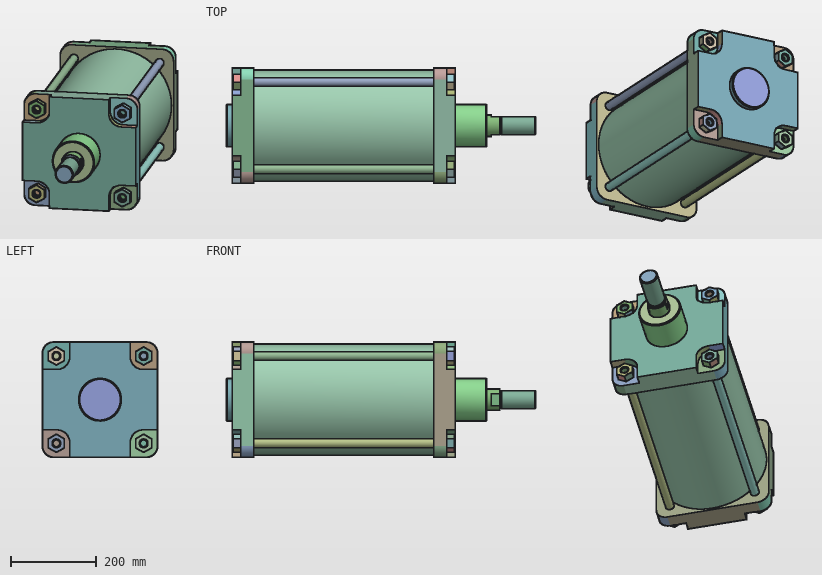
import cadquery as cq
import math

total_length = 723.0

head_side = 270.0
head_thickness = 50.5
head_corner_radius = 27.0
pocket_side = 64.0
pocket_depth = 20.0
pocket_radius = 30.5
boss_diameter = 100.0
boss_length = 14.0
sleeve_length = 74.0
boss_chamfer = 2.0

barrel_diameter = 260.0
barrel_length = 420.0

rod_diameter = 50.5
collar_length = 11.0
flats_length = 19.5
flats_width = 43.0
thread_diameter = 43.0
thread_chamfer = 2.0
neck_diameter = 40.5
neck_length = 2.0

tie_rod_offset = 102.0
tie_rod_diameter = 20.0
nut_flats = 37.0
nut_sides = 6
nut_across_corners = nut_flats / math.cos(math.pi / nut_sides)
nut_length = 18.0
socket_diameter = 16.0
socket_depth = 18.0
socket_chamfer = 2.0

rear_outer = boss_length
rear_inner = rear_outer + head_thickness
front_inner = rear_inner + barrel_length
front_outer = front_inner + head_thickness
sleeve_end = front_outer + sleeve_length
flats_start = sleeve_end + collar_length
flats_end = flats_start + flats_length
thread_start = flats_end + neck_length

corners = [(y, z) for y in (-1, 1) for z in (-1, 1)]


def cylinder_x(diameter, x_start, x_end, y=0.0, z=0.0):
    """Round bar along X between two stations."""
    return cq.Workplane("YZ", origin=(x_start, y, z)).circle(diameter / 2).extrude(x_end - x_start)


def make_head(x_start, pocket_start):
    """Square head plate with four nut pockets and tie-rod holes."""
    plate = (
        cq.Workplane("YZ", origin=(x_start, 0, 0))
        .rect(head_side, head_side)
        .extrude(head_thickness)
        .edges("|X")
        .fillet(head_corner_radius)
    )
    pocket_centers = [(y * head_side / 2, z * head_side / 2) for y, z in corners]
    pockets = (
        cq.Workplane("YZ", origin=(pocket_start, 0, 0))
        .pushPoints(pocket_centers)
        .rect(2 * pocket_side, 2 * pocket_side)
        .extrude(pocket_depth)
        .edges("|X")
        .fillet(pocket_radius)
    )
    plate = plate.cut(pockets)
    for y, z in corners:
        hole = cylinder_x(
            tie_rod_diameter, x_start, x_start + head_thickness, y * tie_rod_offset, z * tie_rod_offset
        )
        plate = plate.cut(hole)
    return plate


def make_rear_head():
    """Rear head with its short centring boss."""
    boss = cylinder_x(boss_diameter, 0, rear_outer).faces("<X").chamfer(boss_chamfer)
    return make_head(rear_outer, rear_outer).union(boss)


def make_front_head():
    """Front head with its rod sleeve, bored through for the piston rod."""
    sleeve = cylinder_x(boss_diameter, front_outer, sleeve_end).faces(">X").chamfer(boss_chamfer)
    head = make_head(front_inner, front_outer - pocket_depth).union(sleeve)
    return head.cut(cylinder_x(rod_diameter, front_inner, sleeve_end))


def make_piston_rod():
    """Piston rod with two wrench flats and a threaded end."""
    shank = cylinder_x(rod_diameter, front_inner, flats_start)
    flats = cylinder_x(rod_diameter, flats_start, flats_end).intersect(
        cq.Workplane("YZ", origin=(flats_start, 0, 0)).rect(flats_width, rod_diameter).extrude(flats_length)
    )
    neck = cylinder_x(neck_diameter, flats_end, thread_start)
    thread = cylinder_x(thread_diameter, thread_start, total_length).faces("<X or >X").chamfer(thread_chamfer)
    return shank.union(flats).union(neck).union(thread)


def make_tie_rod(y, z):
    """Tie rod with a hexagonal nut and a chamfered socket at each end."""
    rear_seat = rear_outer + pocket_depth
    front_seat = front_outer - pocket_depth
    rear_end = rear_seat - nut_length
    front_end = front_seat + nut_length
    tie_rod = cylinder_x(tie_rod_diameter, rear_end, front_end, y, z)
    for x_start in (rear_end, front_seat):
        nut = (
            cq.Workplane("YZ", origin=(x_start, y, z))
            .transformed(rotate=(0, 0, 90))
            .polygon(nut_sides, nut_across_corners)
            .extrude(nut_length)
        )
        tie_rod = tie_rod.union(nut)
    sockets = cylinder_x(socket_diameter, rear_end, rear_end + socket_depth, y, z).union(
        cylinder_x(socket_diameter, front_end - socket_depth, front_end, y, z)
    )
    return tie_rod.cut(sockets).faces("<X or >X").edges("%CIRCLE").chamfer(socket_chamfer)


rear_head = make_rear_head()
front_head = make_front_head()
barrel = cylinder_x(barrel_diameter, rear_inner, front_inner)
piston_rod = make_piston_rod()
tie_rods = [make_tie_rod(y * tie_rod_offset, z * tie_rod_offset) for y, z in corners]

result = cq.Compound.makeCompound(
    [rear_head.val(), front_head.val(), barrel.val(), piston_rod.val()] + [rod.val() for rod in tie_rods]
)